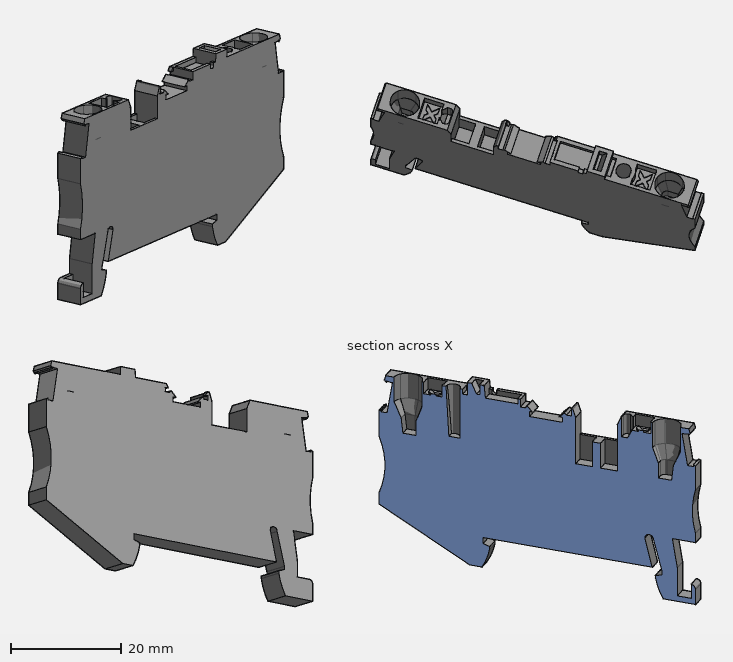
import cadquery as cq
import math

WIDTH = 5.15
LENGTH = 61.9
HEIGHT = 36.85
TAB_HEIGHT = 1.5
HALF_WIDTH = WIDTH / 2
HALF_LENGTH = LENGTH / 2
TOP = HEIGHT - TAB_HEIGHT

LIP_TOP_Y = 29.65
LIP_EDGE_Y = 29.92
LIP_EDGE_Z = TOP - 0.95
LIP_BEAD_Y = 29.5
LIP_BEAD_Z = LIP_EDGE_Z - 0.5
LIP_UNDER_Z = LIP_EDGE_Z - 0.2
NECK_TOP_Y = 28.35
NECK_TOP_Z = LIP_EDGE_Z - 0.35
NECK_FOOT_Y = 29.4
SHOULDER_Z = 27.9
SHOULDER_EDGE_Z = SHOULDER_Z + 0.15
SHOULDER_RIDGE_Y = 30.5
SHOULDER_RIDGE_Z = SHOULDER_Z + 0.35

BACK_HOLLOW_TOP = 22.8
BACK_HOLLOW_BOTTOM = 11.5
BACK_HOLLOW_DEPTH = 1.15
FRONT_HOLLOW_TOP = 23.2
FRONT_HOLLOW_BOTTOM = 14.5
FRONT_HOLLOW_DEPTH = 0.6

BACK_CORNER_Z = 9.1
RAIL_SEAT_Z = 6.0
FOOT_HEEL_Y = 13.2
FOOT_TOE_Y = 10.8
FOOT_NOSE_Y = 9.25
FOOT_NOSE_BULGE = (9.95, 1.65)
FOOT_ROOT_Y = 10.55
NOSE_LOW_Z = 4.0
NOSE_TOP_Z = 4.5
NOSE_ROOT_Z = 4.9
SPRING_CENTER_Y = -6.9
SLOT_SEAT_Y = -22.5
SLOT_TOP_Z = 12.5
SLOT_SIDE_Z = 11.75
SLOT_BACK_Y = -21.05
SLOT_FRONT_Y = -22.65
SPRING_BEND_Z = 5.5
ARM_TOP_Y = -26.45
ARM_Y = -27.4
ARM_BEND_Z = 6.9
HOOK_TOP_Z = 4.0
HOOK_RADIUS = 0.9

GROOVE_CENTER_Y = -1.7
GROOVE_HALF_LENGTH = 4.95
GROOVE_STEP_Z = TOP - 1.55
GROOVE_HALF_PROFILE = [
    (GROOVE_HALF_LENGTH, GROOVE_STEP_Z),
    (4.05, GROOVE_STEP_Z),
    (3.65, TOP - 1.15),
    (2.5, TOP - 2.25),
    (3.18, TOP - 2.25),
    (3.18, TOP - 3.15),
]

CATCH_WIDTH = 0.78
CATCH_TOP_REACH = 0.2
CATCH_REACH = 0.62
CATCH_HEIGHT = 0.75

GAP_FLOOR_Z = 29.3
GAP_BACK_Y = -7.55
GAP_CREST_SIDE_Z = TOP - 0.15
GAP_CREST_FRONT_Y = -6.98
GAP_CHAMFER_Z = TOP - 1.7
GAP_FRONT_Y = -15.6
GAP_CHAMFER_TOP_Y = -16.35

TAB_BACK_Y = 13.7
TAB_FRONT_Y = 10.18
TAB_DRAFT = 0.15


def mirrored_foot(y):
    """Place a point of the fixed foot on the sprung foot, which faces it."""
    return 2 * SPRING_CENTER_Y - y


def end_wall_points():
    """Points of the +Y end wall from the top edge down to the shoulder."""
    return [
        (LIP_TOP_Y, TOP),
        (LIP_EDGE_Y, LIP_EDGE_Z),
        (LIP_BEAD_Y, LIP_BEAD_Z),
        (LIP_BEAD_Y, LIP_UNDER_Z),
        (NECK_TOP_Y, NECK_TOP_Z),
        (NECK_FOOT_Y, SHOULDER_Z),
        (SHOULDER_RIDGE_Y, SHOULDER_Z),
        (SHOULDER_RIDGE_Y, SHOULDER_RIDGE_Z),
        (HALF_LENGTH, SHOULDER_EDGE_Z),
    ]


def draw_lines(path, points):
    for point in points:
        path = path.lineTo(*point)
    return path


def make_body():
    wall = end_wall_points()
    groove_back = [(GROOVE_CENTER_Y + y, z) for y, z in reversed(GROOVE_HALF_PROFILE)]
    groove_front = [(GROOVE_CENTER_Y - y, z) for y, z in GROOVE_HALF_PROFILE]

    path = draw_lines(cq.Workplane("YZ").moveTo(*wall[0]), wall[1:])
    path = path.lineTo(HALF_LENGTH, BACK_HOLLOW_TOP)
    path = path.threePointArc(
        (HALF_LENGTH - BACK_HOLLOW_DEPTH, (BACK_HOLLOW_TOP + BACK_HOLLOW_BOTTOM) / 2),
        (HALF_LENGTH, BACK_HOLLOW_BOTTOM),
    )
    path = draw_lines(path, [(HALF_LENGTH, BACK_CORNER_Z), (FOOT_HEEL_Y, 0), (FOOT_TOE_Y, 0)])
    path = path.threePointArc(FOOT_NOSE_BULGE, (FOOT_NOSE_Y, NOSE_LOW_Z))
    path = draw_lines(path, [
        (FOOT_NOSE_Y, NOSE_TOP_Z),
        (FOOT_ROOT_Y, NOSE_ROOT_Z),
        (FOOT_ROOT_Y, RAIL_SEAT_Z),
        (SLOT_SEAT_Y, RAIL_SEAT_Z),
        (SLOT_BACK_Y, SLOT_SIDE_Z),
    ])

    path = path.threePointArc(
        ((SLOT_BACK_Y + SLOT_FRONT_Y) / 2, SLOT_TOP_Z),
        (SLOT_FRONT_Y, SLOT_SIDE_Z),
    )
    path = draw_lines(path, [
        (mirrored_foot(FOOT_ROOT_Y), SPRING_BEND_Z),
        (mirrored_foot(FOOT_ROOT_Y), NOSE_ROOT_Z),
        (mirrored_foot(FOOT_NOSE_Y), NOSE_TOP_Z),
        (mirrored_foot(FOOT_NOSE_Y), NOSE_LOW_Z),
    ])
    path = path.threePointArc(
        (mirrored_foot(FOOT_NOSE_BULGE[0]), FOOT_NOSE_BULGE[1]),
        (mirrored_foot(FOOT_TOE_Y), 0),
    )
    path = draw_lines(path, [(-HALF_LENGTH, 0), (-HALF_LENGTH, HOOK_TOP_Z - HOOK_RADIUS)])
    path = path.radiusArc((-HALF_LENGTH + HOOK_RADIUS, HOOK_TOP_Z), HOOK_RADIUS)

    path = draw_lines(path, [
        (ARM_Y, HOOK_TOP_Z),
        (ARM_Y, ARM_BEND_Z),
        (ARM_TOP_Y, SLOT_TOP_Z),
        (-HALF_LENGTH, SLOT_TOP_Z),
        (-HALF_LENGTH, FRONT_HOLLOW_BOTTOM),
    ])
    path = path.threePointArc(
        (-HALF_LENGTH + FRONT_HOLLOW_DEPTH, (FRONT_HOLLOW_TOP + FRONT_HOLLOW_BOTTOM) / 2),
        (-HALF_LENGTH, FRONT_HOLLOW_TOP),
    )
    path = draw_lines(path, [(-y, z) for y, z in reversed(wall)])

    path = draw_lines(path, [
        (GAP_CHAMFER_TOP_Y, TOP),
        (GAP_FRONT_Y, GAP_CHAMFER_Z),
        (GAP_FRONT_Y, GAP_FLOOR_Z),
        (GAP_BACK_Y, GAP_FLOOR_Z),
        (GAP_BACK_Y, GAP_CHAMFER_Z),
        (GAP_CREST_FRONT_Y, GAP_CREST_SIDE_Z),
    ])
    crest_back_y = GROOVE_CENTER_Y - GROOVE_HALF_LENGTH
    path = path.threePointArc(
        ((GAP_CREST_FRONT_Y + crest_back_y) / 2, TOP),
        (crest_back_y, GAP_CREST_SIDE_Z),
    )
    path = draw_lines(path, groove_front)
    path = draw_lines(path, groove_back + [(GROOVE_CENTER_Y + GROOVE_HALF_LENGTH, TOP)])
    return path.close().extrude(HALF_WIDTH, both=True)


MOUTH_CENTER_Y = 25.25
MOUTH_LENGTH = 5.4
MOUTH_WIDTH = 4.9
BORE_DEPTH = 5.0
FUNNEL_DEPTH = 3.0
THROAT_DEPTH = 3.0
THROAT_INNER_Y = 23.7
THROAT_OUTER_Y = 26.55
THROAT_FLOOR_OUTER_Y = 26.2
THROAT_X_MAX = 1.8
THROAT_X_MIN = -1.23
THROAT_CORNER_RADIUS = 0.9
MOUTH_ANGLES = (50, 135, 212, 250, 290, 335)

RELEASE_INNER_Y = 18.45
RELEASE_OUTER_Y = 22.15
RELEASE_WIDTH = 3.96
RELEASE_DEPTH = 2.3
CROSS_HEIGHT = 0.3
CROSS_LENGTH = 2.3
CROSS_WIDTH = 3.2
CROSS_BAR_END = 1.05
CROSS_CENTER_Y = 20.28

TEST_HOLE_Y = 16.5
TEST_HOLE_DIAMETER = 2.75
TEST_HOLE_DEPTH = 10.0
TEST_HOLE_RAMP = 0.55
TEST_HOLE_RAMP_INSET = 0.1
TEST_HOLE_WALL_RADIUS = 2.15

RECESS_WIDTH = 3.6
RECESS_DEPTH = 1.0
BACK_RECESS_Y = 14.52
FRONT_RECESS_Y = 3.83
TAB_SLOT_BACK_Y = 12.77
TAB_SLOT_FLOOR_Y = 11.82
TAB_SLOT_FRONT_Y = 11.25
TAB_SLOT_DEPTH = 2.0
SIDE_NOTCH_Y = 9.12
SIDE_NOTCH_DIAMETER = 0.94

HOOK_RELIEF_LEDGE = 0.78
HOOK_RELIEF_DEPTH = 2.8

GAP_POCKET_WIDTH = 3.96
GAP_POCKET_DEPTH = 5.0
GAP_POCKET_LENGTH = 3.2

KEYHOLE_BACK_Y = -16.5
KEYHOLE_SHOULDER_Y = -17.6
KEYHOLE_HALF_WIDTH = 1.55
KEYHOLE_CORNER_RADIUS = 0.6
KEYHOLE_THROAT_HALF_WIDTH = 0.7
KEYHOLE_THROAT_OVERRUN = 0.35
KEYHOLE_DEPTH = 4.0


def box_between(x_min, x_max, y_min, y_max, z_min, z_max):
    corner = cq.Vector(x_min, y_min, z_min)
    return cq.Workplane(cq.Solid.makeBox(x_max - x_min, y_max - y_min, z_max - z_min, corner))


def centered_box(width, y_min, y_max, z_min, z_max):
    return box_between(-width / 2, width / 2, y_min, y_max, z_min, z_max)


def make_tab():
    profile = [
        (TAB_BACK_Y, TOP),
        (TAB_BACK_Y, HEIGHT),
        (TAB_FRONT_Y + TAB_DRAFT, HEIGHT),
        (TAB_FRONT_Y, TOP),
    ]
    return cq.Workplane("YZ").polyline(profile).close().extrude(HALF_WIDTH, both=True)


def make_catch():
    """Catch at the +Y end of the marker groove, with the groove centred on Y = 0."""
    profile = [
        (GROOVE_HALF_LENGTH, TOP),
        (GROOVE_HALF_LENGTH - CATCH_TOP_REACH, TOP),
        (GROOVE_HALF_LENGTH - CATCH_REACH, TOP - CATCH_HEIGHT),
        (GROOVE_HALF_LENGTH, TOP - CATCH_HEIGHT),
    ]
    return cq.Workplane("YZ", origin=(-HALF_WIDTH, 0, 0)).polyline(profile).close().extrude(CATCH_WIDTH)


def make_hook_relief():
    return box_between(
        HOOK_RELIEF_LEDGE - HALF_WIDTH,
        HALF_WIDTH,
        HOOK_RADIUS - HALF_LENGTH,
        ARM_Y,
        HOOK_TOP_Z - HOOK_RELIEF_DEPTH,
        HOOK_TOP_Z,
    )


def make_tab_slot():
    floor_z = HEIGHT - TAB_SLOT_DEPTH
    profile = [
        (TAB_SLOT_BACK_Y, HEIGHT),
        (TAB_SLOT_FRONT_Y, HEIGHT),
        (TAB_SLOT_FRONT_Y, floor_z),
        (TAB_SLOT_FLOOR_Y, floor_z),
    ]
    return cq.Workplane("YZ").polyline(profile).close().extrude(RECESS_WIDTH / 2, both=True)


def make_tab_recesses():
    floor_z = TOP - RECESS_DEPTH
    back = centered_box(RECESS_WIDTH, TAB_BACK_Y, BACK_RECESS_Y, floor_z, TOP)
    front_profile = [
        (FRONT_RECESS_Y, TOP),
        (TAB_FRONT_Y, TOP),
        (TAB_FRONT_Y - TAB_DRAFT * RECESS_DEPTH / TAB_HEIGHT, floor_z),
        (FRONT_RECESS_Y, floor_z),
    ]
    front = cq.Workplane("YZ").polyline(front_profile).close().extrude(RECESS_WIDTH / 2, both=True)
    return back.union(front)


def make_side_notch():
    """Round-bottomed notch through the +X wall of the recess in front of the tab."""
    radius = SIDE_NOTCH_DIAMETER / 2
    center_z = TOP - RECESS_DEPTH + radius
    bottom = (
        cq.Workplane("YZ", origin=(RECESS_WIDTH / 2, SIDE_NOTCH_Y, center_z))
        .circle(radius)
        .extrude(HALF_WIDTH - RECESS_WIDTH / 2)
    )
    opening = box_between(
        RECESS_WIDTH / 2, HALF_WIDTH, SIDE_NOTCH_Y - radius, SIDE_NOTCH_Y + radius, center_z, TOP
    )
    return bottom.union(opening)


def mouth_point(angle):
    """Point on the oval mouth in the given direction from its centre."""
    radians = math.radians(angle)
    return (MOUTH_WIDTH / 2 * math.cos(radians), MOUTH_CENTER_Y + MOUTH_LENGTH / 2 * math.sin(radians))


def make_mouth_wire(z):
    """Oval mouth in six arcs, one for each side and round corner of the throat."""
    path = cq.Workplane("XY").workplane(offset=z).moveTo(*mouth_point(MOUTH_ANGLES[0]))
    ends = MOUTH_ANGLES[1:] + (MOUTH_ANGLES[0] + 360,)
    for start, end in zip(MOUTH_ANGLES, ends):
        path = path.threePointArc(mouth_point((start + end) / 2), mouth_point(end))
    return path.wire().val()


def make_throat_wire(z):
    radius = THROAT_CORNER_RADIUS
    return (
        cq.Workplane("XY")
        .workplane(offset=z)
        .moveTo(THROAT_X_MAX, THROAT_OUTER_Y)
        .lineTo(THROAT_X_MIN, THROAT_OUTER_Y)
        .lineTo(THROAT_X_MIN, THROAT_INNER_Y + radius)
        .radiusArc((THROAT_X_MIN + radius, THROAT_INNER_Y), -radius)
        .lineTo(THROAT_X_MAX - radius, THROAT_INNER_Y)
        .radiusArc((THROAT_X_MAX, THROAT_INNER_Y + radius), -radius)
        .close()
        .val()
    )


def make_wire_funnel():
    """Wire funnel at the +Y end."""
    funnel_z = TOP - BORE_DEPTH
    shelf_z = funnel_z - FUNNEL_DEPTH
    bore = cq.Workplane(make_mouth_wire(funnel_z)).toPending().extrude(BORE_DEPTH)
    funnel = cq.Workplane(cq.Solid.makeLoft([make_mouth_wire(funnel_z), make_throat_wire(shelf_z)], True))
    floor_z = shelf_z - THROAT_DEPTH
    throat_profile = [
        (THROAT_INNER_Y, shelf_z),
        (THROAT_OUTER_Y, shelf_z),
        (THROAT_FLOOR_OUTER_Y, floor_z),
        (THROAT_INNER_Y, floor_z),
    ]
    throat = (
        cq.Workplane("YZ", origin=(THROAT_X_MIN, 0, 0))
        .polyline(throat_profile)
        .close()
        .extrude(THROAT_X_MAX - THROAT_X_MIN)
        .edges("|Z and <Y")
        .fillet(THROAT_CORNER_RADIUS)
    )
    return bore.union(funnel).union(throat)


def make_cross():
    """Raised cross at the middle of the +Y release pocket, its arms cut square at both ends."""
    x = CROSS_WIDTH / 2
    y = CROSS_LENGTH / 2
    bar_points = [(x, y), (x - CROSS_BAR_END, y), (-x, -y), (CROSS_BAR_END - x, -y)]
    floor = cq.Workplane("XY", origin=(0, CROSS_CENTER_Y, TOP - RELEASE_DEPTH))
    bar = floor.polyline(bar_points).close().extrude(CROSS_HEIGHT)
    return bar.union(bar.mirror("YZ"))


def make_release_pocket():
    pocket = centered_box(RELEASE_WIDTH, RELEASE_INNER_Y, RELEASE_OUTER_Y, TOP - RELEASE_DEPTH, TOP)
    bulge = (
        cq.Workplane("XY", origin=(0, TEST_HOLE_Y, TOP))
        .circle(TEST_HOLE_WALL_RADIUS)
        .extrude(-RELEASE_DEPTH)
    )
    return pocket.cut(make_cross()).cut(bulge)


def make_test_hole():
    radius = TEST_HOLE_DIAMETER / 2
    floor_z = TOP - TEST_HOLE_DEPTH
    hole = cq.Workplane("XY", origin=(0, TEST_HOLE_Y, TOP)).circle(radius).extrude(-TEST_HOLE_DEPTH)
    ramp_top_y = TEST_HOLE_Y + radius - TEST_HOLE_RAMP_INSET
    ramp_side = [
        (TEST_HOLE_Y - TEST_HOLE_DIAMETER, TOP),
        (ramp_top_y, TOP),
        (ramp_top_y - TEST_HOLE_RAMP, floor_z),
        (TEST_HOLE_Y - TEST_HOLE_DIAMETER, floor_z),
    ]
    return hole.intersect(cq.Workplane("YZ").polyline(ramp_side).close().extrude(HALF_WIDTH, both=True))


def make_gap_pockets():
    floor_z = GAP_FLOOR_Z - GAP_POCKET_DEPTH
    back = centered_box(
        GAP_POCKET_WIDTH, GAP_BACK_Y - GAP_POCKET_LENGTH, GAP_BACK_Y, floor_z, GAP_FLOOR_Z
    )
    front = centered_box(
        GAP_POCKET_WIDTH, GAP_FRONT_Y, GAP_FRONT_Y + GAP_POCKET_LENGTH, floor_z, GAP_FLOOR_Z
    )
    return back.union(front)


def make_keyhole():
    throat_end_y = -RELEASE_INNER_Y - KEYHOLE_THROAT_OVERRUN
    half_outline = [
        (KEYHOLE_HALF_WIDTH, KEYHOLE_BACK_Y),
        (KEYHOLE_HALF_WIDTH, KEYHOLE_SHOULDER_Y),
        (KEYHOLE_THROAT_HALF_WIDTH, -RELEASE_INNER_Y),
        (KEYHOLE_THROAT_HALF_WIDTH, throat_end_y),
    ]
    outline = half_outline + [(-x, y) for x, y in reversed(half_outline)]
    prism = cq.Workplane("XY").workplane(offset=TOP).polyline(outline).close().extrude(-KEYHOLE_DEPTH)
    prism = prism.faces(">Y").edges("|Z").fillet(KEYHOLE_CORNER_RADIUS)
    section = [
        (KEYHOLE_BACK_Y, TOP),
        (KEYHOLE_BACK_Y, TOP - KEYHOLE_DEPTH),
        (KEYHOLE_SHOULDER_Y, TOP - KEYHOLE_DEPTH),
        (-RELEASE_INNER_Y, TOP - RELEASE_DEPTH),
        (throat_end_y, TOP - RELEASE_DEPTH),
        (throat_end_y, TOP),
    ]
    return prism.intersect(cq.Workplane("YZ").polyline(section).close().extrude(HALF_WIDTH, both=True))


result = make_body().union(make_tab())
catch = make_catch()
for groove_end_catch in (catch, catch.mirror("XZ")):
    result = result.union(groove_end_catch.translate((0, GROOVE_CENTER_Y, 0)))
for end_cutter in (make_wire_funnel(), make_release_pocket()):
    result = result.cut(end_cutter).cut(end_cutter.mirror("XZ"))
for cutter in (
    make_tab_slot(),
    make_tab_recesses(),
    make_side_notch(),
    make_test_hole(),
    make_gap_pockets(),
    make_keyhole(),
    make_hook_relief(),
):
    result = result.cut(cutter)